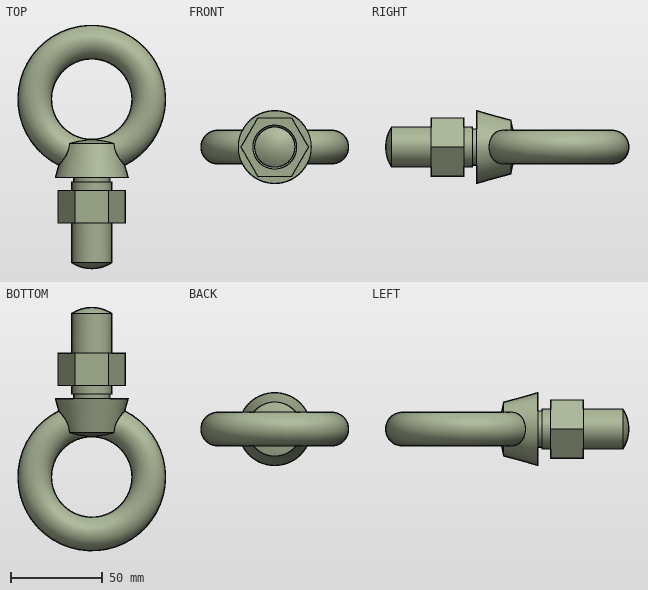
import cadquery as cq
import math

overall_length = 133.5
ring_outer_radius = 40.52
ring_bar_radius = 9.28
ring_centre_radius = ring_outer_radius - ring_bar_radius

collar_top_y = -24.3
collar_base_y = -43.0
collar_top_radius = 14.8
collar_base_radius = 20.0
collar_crown_rise = 2.0

neck_radius = 10.0
neck_length = 2.4
stud_radius = 11.01
stud_tip_rise = 3.3
neck_end_y = collar_base_y - neck_length
stud_tip_y = ring_outer_radius - overall_length
stud_end_y = stud_tip_y + stud_tip_rise

nut_across_flats = 32.0
nut_thickness = 17.9
nut_top_y = -50.0
nut_mouth_radius = 12.0
nut_mouth_chamfer = nut_mouth_radius - stud_radius
nut_across_corners = nut_across_flats / math.cos(math.pi / 6)


def cap_midpoint(edge_radius, edge_y, rise):
    """Point halfway along the arc of a spherical cap that ends on the Y axis.

    A negative rise makes a cap that bulges toward -Y.
    """
    sphere_radius = (edge_radius**2 + rise**2) / (2 * abs(rise))
    half_angle = math.asin(edge_radius / sphere_radius) / 2
    sag = math.copysign(sphere_radius * (1 - math.cos(half_angle)), rise)
    return (sphere_radius * math.sin(half_angle), edge_y + rise - sag)


def make_ring():
    return (
        cq.Workplane("XY")
        .center(ring_centre_radius, 0)
        .circle(ring_bar_radius)
        .revolve(360, (-ring_centre_radius, 0, 0), (-ring_centre_radius, 1, 0))
        .rotate((0, 0, 0), (1, 0, 0), 90)
    )


def make_shank():
    """Domed conical collar, neck and round-tipped stud, turned about the Y axis."""
    crown_mid = cap_midpoint(collar_top_radius, collar_top_y, collar_crown_rise)
    tip_mid = cap_midpoint(stud_radius, stud_end_y, -stud_tip_rise)
    return (
        cq.Workplane("XY")
        .moveTo(0, collar_top_y + collar_crown_rise)
        .threePointArc(crown_mid, (collar_top_radius, collar_top_y))
        .lineTo(collar_base_radius, collar_base_y)
        .lineTo(neck_radius, collar_base_y)
        .lineTo(neck_radius, neck_end_y)
        .lineTo(stud_radius, neck_end_y)
        .lineTo(stud_radius, stud_end_y)
        .threePointArc(tip_mid, (0, stud_tip_y))
        .close()
        .revolve(360, (0, 0, 0), (0, 1, 0))
    )


def make_eye_bolt():
    return make_ring().union(make_shank())


def make_nut():
    """Hexagon nut with corners on the X axis and a chamfer at both bore mouths."""
    blank = (
        cq.Workplane("XZ", origin=(0, nut_top_y, 0))
        .polygon(6, nut_across_corners)
        .extrude(nut_thickness)
    )
    bored = blank.faces("<Y").workplane().hole(2 * stud_radius)
    return bored.edges("%CIRCLE").chamfer(nut_mouth_chamfer)


eye_bolt = make_eye_bolt()
nut = make_nut()

result = cq.Compound.makeCompound([eye_bolt.solids().val(), nut.solids().val()])